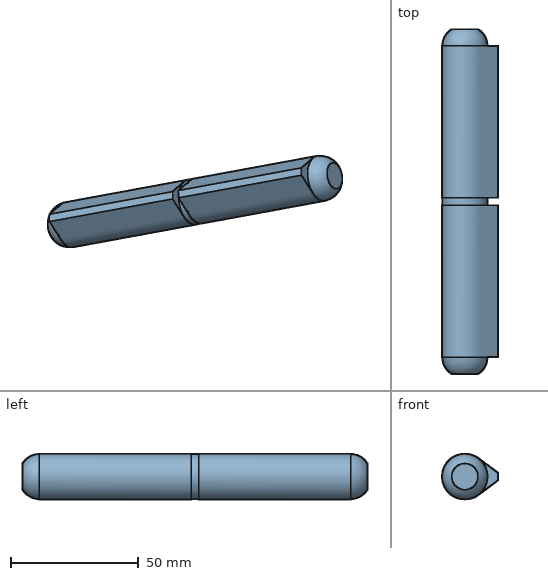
import cadquery as cq
import math

total_length = 135.0
crown_length = 6.6
middle_gap = 2.8
leaf_length = (total_length - 2 * crown_length - middle_gap) / 2

knuckle_radius = 18.0 / 2
lug_tip_x = 22.0 - knuckle_radius
lug_tip_half_height = 1.5

pin_radius = 17.8 / 2
crown_end_radius = 10.3 / 2


def make_leaf(start_y):
    """Round knuckle with a tapered lug whose flanks are tangent to it."""
    tip_distance = math.hypot(lug_tip_x, lug_tip_half_height)
    tip_angle = math.atan2(lug_tip_half_height, lug_tip_x)
    tangent_angle = tip_angle + math.acos(knuckle_radius / tip_distance)
    tangent_x = knuckle_radius * math.cos(tangent_angle)
    tangent_z = knuckle_radius * math.sin(tangent_angle)
    return (
        cq.Workplane("XZ", origin=(0, start_y, 0))
        .moveTo(tangent_x, tangent_z)
        .threePointArc((-knuckle_radius, 0), (tangent_x, -tangent_z))
        .lineTo(lug_tip_x, -lug_tip_half_height)
        .lineTo(lug_tip_x, lug_tip_half_height)
        .close()
        .extrude(-leaf_length)
    )


def make_pin():
    """Full-length pin whose ends curve in, tangent to its side, to a flat face."""
    end_y = total_length / 2
    crown_start_y = end_y - crown_length
    radial_drop = pin_radius - crown_end_radius
    crown_radius = (crown_length**2 + radial_drop**2) / (2 * radial_drop)
    half_sweep = math.asin(crown_length / crown_radius) / 2
    crown_mid_x = pin_radius - crown_radius * (1 - math.cos(half_sweep))
    crown_mid_y = crown_start_y + crown_radius * math.sin(half_sweep)
    return (
        cq.Workplane("XY")
        .moveTo(0, -end_y)
        .lineTo(crown_end_radius, -end_y)
        .threePointArc((crown_mid_x, -crown_mid_y), (pin_radius, -crown_start_y))
        .lineTo(pin_radius, crown_start_y)
        .threePointArc((crown_mid_x, crown_mid_y), (crown_end_radius, end_y))
        .lineTo(0, end_y)
        .close()
        .revolve(360, (0, 0, 0), (0, 1, 0))
    )


front_leaf = make_leaf(-middle_gap / 2 - leaf_length)
back_leaf = make_leaf(middle_gap / 2)
result = make_pin().union(front_leaf).union(back_leaf)